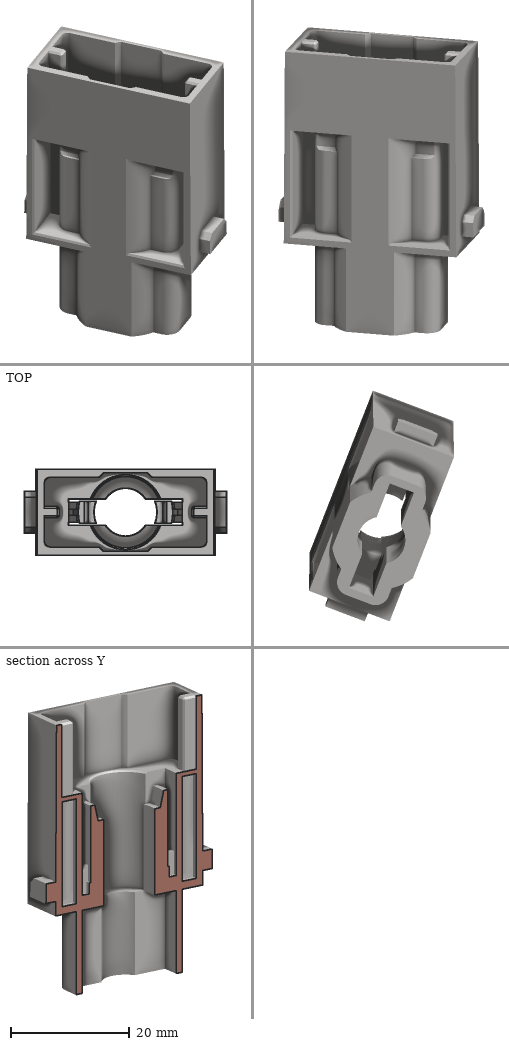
import cadquery as cq
import math

HEIGHT = 48.6
DEPTH = 14.6
SHOULDER_Z = 14.75
BODY_BOTTOM_WIDTH = 30.25
BODY_TOP_WIDTH = 29.85

CAVITY_FLOOR_Z = 35.6
CAVITY_WIDTH = 27.4
CAVITY_DEPTH = 11.75
CAVITY_CORNER_RADIUS = 0.95
BULGE_DEPTH = 13.25
BULGE_INNER_WIDTH = 7.4
BULGE_OUTER_WIDTH = 8.95

KEY_LENGTH = 2.5
KEY_WIDTH = 1.95
KEY_CHAMFER = 0.35
KEY_TIP_CHAMFER = 0.3

CORE_WIDTH = 21.85
CORE_DEPTH = 9.15
CORE_CORNER_RADIUS = 2.35
PLUG_RADIUS = 8.4
WINDOW_CORE_RADIUS = 7.95
NOTCH_Z = 30.8
NOTCH_LEDGE_DEPTH = 0.45
NOTCH_SLOPE_HEIGHT = 0.55
NOTCHED_DEPTH = 7.6

WINDOW_OUTER_X = 13.65
WINDOW_BOTTOM_Z = 16.25
WINDOW_TOP_Z = 34.75
WINDOW_EDGE_BEVEL = 0.4
WINDOW_BEVEL_DEPTH = 0.2
WEB_THICKNESS = 0.6

TAB_BOTTOM_SPAN = 34.15
TAB_TOP_SPAN = 33.95
TAB_BOTTOM_Z = 17.3
TAB_HEIGHT = 3.55
TAB_WIDTH = 7.1
TAB_CHAMFER = 1.0

BORE_RADIUS = 6.05
BORE_CHAMFER = 0.3
THROUGH_RADIUS = 4.05
SLOT_LENGTH = 19.2
SLOT_WIDTH = 4.35

ARM_WIDTH = 3.75
ARM_INNER_RADIUS = 5.3
ARM_OUTER_RADIUS = 7.95
ARM_ROOT_TOP_Z = 17.5
ARM_TOP_Z = 33.05
HOOK_TOP_Z = 30.15
HOOK_SLOPE_START_X = 6.3
HOOK_SLOPE_END_X = 7.0
BRACE_WIDTH = 0.95
BRACE_TOP_Z = 22.35
BRACE_LOW_Z = 21.65
BRACE_BEND_X = 8.8
ARM_FOOT_RADIUS = 8.3
ARM_FOOT_WIDTH = 3.4
ARM_FOOT_TOP_Z = 19.45

SIDES = (-1, 1)


def block(x_size, y_size, z_low, z_high):
    """Box centred on the Z axis between two heights."""
    return cq.Workplane("XY").workplane(offset=z_low).rect(x_size, y_size).extrude(z_high - z_low)


def cylinder(radius, z_low, z_high):
    return cq.Workplane("XY").workplane(offset=z_low).circle(radius).extrude(z_high - z_low)


def profile_along_y(points, thickness):
    """Extrude an XZ outline symmetrically about the XZ plane."""
    return cq.Workplane("XZ").polyline(points).close().extrude(thickness / 2, both=True)


def taper_along_z(bottom_width, top_width, z_low, z_high, thickness):
    points = [
        (-bottom_width / 2, z_low),
        (bottom_width / 2, z_low),
        (top_width / 2, z_high),
        (-top_width / 2, z_high),
    ]
    return profile_along_y(points, thickness)


def core(cylinder_radius, z_low, z_high):
    """Rounded box joined to a cylinder that is flattened at the broad faces."""
    box = block(CORE_WIDTH, CORE_DEPTH, z_low, z_high).edges("|Z").fillet(CORE_CORNER_RADIUS)
    barrel = cylinder(cylinder_radius, z_low, z_high)
    return box.union(barrel.intersect(block(BODY_TOP_WIDTH, DEPTH, z_low, z_high)))


def notch(side_x, side_y):
    """Space that thins one core wall near the top, above a ledge with a sloped back."""
    inner_y = NOTCHED_DEPTH / 2
    outer_y = CORE_DEPTH / 2
    points = [
        (side_y * outer_y, NOTCH_Z),
        (side_y * (outer_y - NOTCH_LEDGE_DEPTH), NOTCH_Z),
        (side_y * inner_y, NOTCH_Z + NOTCH_SLOPE_HEIGHT),
        (side_y * inner_y, WINDOW_TOP_Z),
        (side_y * outer_y, WINDOW_TOP_Z),
    ]
    start_x = math.sqrt(WINDOW_CORE_RADIUS**2 - outer_y**2)
    length = CORE_WIDTH / 2 - start_x
    prism = cq.Workplane("YZ").polyline(points).close().extrude(side_x * length)
    return prism.translate((side_x * start_x, 0, 0))


def window_outline(plane, outer_x, bottom_z):
    """Wide rectangle spanning both windows of one broad face."""
    return plane.polyline([
        (-outer_x, bottom_z),
        (outer_x, bottom_z),
        (outer_x, WINDOW_TOP_Z),
        (-outer_x, WINDOW_TOP_Z),
    ]).close()


def window_pocket(side_y):
    """Straight pocket from one broad face down to the central web."""
    depth = (DEPTH - WEB_THICKNESS) / 2
    face = cq.Workplane("XZ", origin=(0, side_y * DEPTH / 2, 0))
    return window_outline(face, WINDOW_OUTER_X, WINDOW_BOTTOM_Z).extrude(side_y * depth)


def window_bevel(side_y):
    """Flared edge along the sill and the outer jambs at one broad face."""
    face = cq.Workplane("XZ", origin=(0, side_y * DEPTH / 2, 0))
    outer_x = WINDOW_OUTER_X + WINDOW_EDGE_BEVEL
    flare = window_outline(face, outer_x, WINDOW_BOTTOM_Z - WINDOW_EDGE_BEVEL)
    flare = flare.workplane(offset=side_y * WINDOW_BEVEL_DEPTH)
    return window_outline(flare, WINDOW_OUTER_X, WINDOW_BOTTOM_Z).loft(ruled=True)


def windows():
    """Four openings that leave the notched core standing between them."""
    low_z = WINDOW_BOTTOM_Z - WINDOW_EDGE_BEVEL
    kept_core = core(WINDOW_CORE_RADIUS, low_z, WINDOW_TOP_Z)
    barrel = cylinder(WINDOW_CORE_RADIUS, low_z, WINDOW_TOP_Z)
    for side_x in SIDES:
        for side_y in SIDES:
            kept_core = kept_core.cut(notch(side_x, side_y).cut(barrel))

    openings = window_pocket(-1).union(window_pocket(1))
    for side_y in SIDES:
        openings = openings.union(window_bevel(side_y))
    return openings.cut(kept_core)


def cavity():
    main = block(CAVITY_WIDTH, CAVITY_DEPTH, CAVITY_FLOOR_Z, HEIGHT).edges("|Z").fillet(CAVITY_CORNER_RADIUS)
    inner_x = BULGE_INNER_WIDTH / 2
    outer_x = BULGE_OUTER_WIDTH / 2
    bulge_y = BULGE_DEPTH / 2
    wall_y = CAVITY_DEPTH / 2
    bulge = (
        cq.Workplane("XY", origin=(0, 0, CAVITY_FLOOR_Z))
        .polyline([
            (inner_x, bulge_y), (outer_x, wall_y), (outer_x, -wall_y), (inner_x, -bulge_y),
            (-inner_x, -bulge_y), (-outer_x, -wall_y), (-outer_x, wall_y), (-inner_x, bulge_y),
        ])
        .close()
        .extrude(HEIGHT - CAVITY_FLOOR_Z)
    )
    return main.union(bulge)


def key_rib(side):
    """Upright rib on a cavity end wall, chamfered around its top."""
    wall_overlap = 0.5
    length = KEY_LENGTH + wall_overlap
    centre_x = CAVITY_WIDTH / 2 - KEY_LENGTH + length / 2
    rib = block(length, KEY_WIDTH, CAVITY_FLOOR_Z, HEIGHT).translate((side * centre_x, 0, 0))
    wall_direction, tip_direction = (">X", "<X") if side > 0 else ("<X", ">X")
    rib = rib.edges("|Z").edges(tip_direction).chamfer(KEY_TIP_CHAMFER)
    return rib.faces(">Z").edges("not " + wall_direction).chamfer(KEY_CHAMFER)


def bore_and_slot():
    bore = cylinder(BORE_RADIUS, SHOULDER_Z, CAVITY_FLOOR_Z)
    mouth = cq.Workplane(cq.Solid.makeCone(
        BORE_RADIUS,
        BORE_RADIUS + BORE_CHAMFER,
        BORE_CHAMFER,
        pnt=cq.Vector(0, 0, CAVITY_FLOOR_Z - BORE_CHAMFER),
    ))
    through = cylinder(THROUGH_RADIUS, 0, CAVITY_FLOOR_Z)
    slot = block(SLOT_LENGTH, SLOT_WIDTH, 0, CAVITY_FLOOR_Z)
    return bore.union(mouth).union(through).union(slot)


def latch_arm(side):
    """Hooked arm curved around the bore, rooted in the end wall of the slot."""
    outline = [
        (0, SHOULDER_Z),
        (ARM_OUTER_RADIUS, SHOULDER_Z),
        (ARM_OUTER_RADIUS, ARM_TOP_Z),
        (HOOK_SLOPE_END_X, ARM_TOP_Z),
        (HOOK_SLOPE_START_X, HOOK_TOP_Z),
        (0, HOOK_TOP_Z),
    ]
    arm = profile_along_y([(side * x, z) for x, z in outline], ARM_WIDTH)
    ring = cylinder(ARM_OUTER_RADIUS, SHOULDER_Z, ARM_TOP_Z)
    bore_clearance = cylinder(ARM_INNER_RADIUS, SHOULDER_Z, ARM_TOP_Z)

    wall_x = (SLOT_LENGTH + CORE_WIDTH) / 4
    start_x = (ARM_INNER_RADIUS + ARM_OUTER_RADIUS) / 2
    centre_x = side * (start_x + wall_x) / 2
    length = wall_x - start_x
    root = block(length, ARM_FOOT_WIDTH, SHOULDER_Z, ARM_ROOT_TOP_Z).translate((centre_x, 0, 0))
    foot = block(length, ARM_FOOT_WIDTH, SHOULDER_Z, ARM_FOOT_TOP_Z).translate((centre_x, 0, 0))
    foot = foot.intersect(cylinder(ARM_FOOT_RADIUS, SHOULDER_Z, ARM_FOOT_TOP_Z))
    brace_outline = [
        (start_x, SHOULDER_Z),
        (wall_x, SHOULDER_Z),
        (wall_x, BRACE_LOW_Z),
        (BRACE_BEND_X, BRACE_LOW_Z),
        (ARM_OUTER_RADIUS, BRACE_TOP_Z),
        (start_x, BRACE_TOP_Z),
    ]
    brace = profile_along_y([(side * x, z) for x, z in brace_outline], BRACE_WIDTH)
    return arm.intersect(ring).cut(bore_clearance).union(root).union(foot).union(brace)


body = taper_along_z(BODY_BOTTOM_WIDTH, BODY_TOP_WIDTH, SHOULDER_Z, HEIGHT, DEPTH)
tabs = taper_along_z(TAB_BOTTOM_SPAN, TAB_TOP_SPAN, TAB_BOTTOM_Z, TAB_BOTTOM_Z + TAB_HEIGHT, TAB_WIDTH)
tabs = tabs.edges("|X and >Z").chamfer(TAB_CHAMFER)
plug = core(PLUG_RADIUS, 0, SHOULDER_Z)

part = body.union(tabs).union(plug)
part = part.cut(windows()).cut(cavity()).cut(bore_and_slot())
for side in SIDES:
    part = part.union(key_rib(side)).union(latch_arm(side))

result = part.solids()